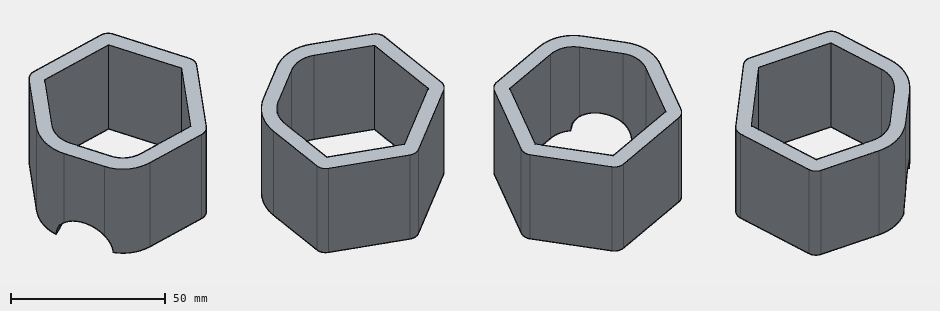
import cadquery as cq
import math

across_flats = 54.45
height = 40.0
wall = 5.0
small_corner_radius = 3.9
front_corner_radius = 14.8
notch_radius = 10.0

inner_across_flats = across_flats - 2 * wall
inner_front_radius = front_corner_radius - wall


def hexagonal_prism(flats):
    """Upright hexagonal prism with two corners on the X axis."""
    corner_diameter = flats / math.cos(math.radians(30))
    return cq.Workplane("XY").polygon(6, corner_diameter).extrude(height)


outer = hexagonal_prism(across_flats)
outer = outer.edges("|Z and <Y").fillet(front_corner_radius)
sharp_corners = cq.selectors.BoxSelector(
    (-across_flats, -wall, 0), (across_flats, across_flats, height)
)
outer = outer.edges("|Z").edges(sharp_corners).fillet(small_corner_radius)

opening = hexagonal_prism(inner_across_flats)
opening = opening.edges("|Z and <Y").fillet(inner_front_radius)

notch = cq.Workplane("XZ").circle(notch_radius).extrude(across_flats)

result = outer.cut(opening).cut(notch)